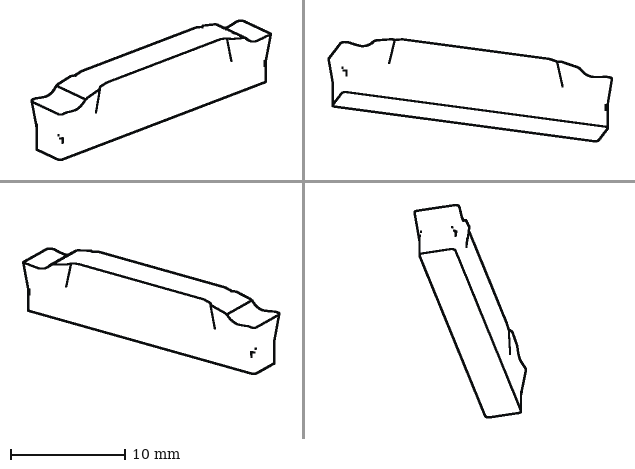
import cadquery as cq

length = 24.9
height = 5.8
head_width = 4.0
body_width = 3.24
corner_radius = 0.32

edge_height = 4.58
land_depth = 0.47
land_height = 4.63
land_back_depth = 0.7
ramp_depth = 0.97
ramp_height = 4.58
groove_start = 1.3
groove_start_height = 4.53
groove_height = 4.48
groove_arc_start = 1.8
groove_arc_middle = (2.35, 4.6)
groove_arc_end = (2.85, 4.95)
groove_lip = (3.01, 5.13)
slope_start = (3.24, 5.23)
slope_end_depth = 5.7

end_setback = 0.25
flank_foot_height = 2.55
side_slope = 0.115
side_relief = 0.057
shoulder_depth = 4.5
shoulder_height = 3.35
shoulder_lean = 0.22
shoulder_run = 1.3
shoulder_radius = 0.12
corner_foot_height = 2.07

half_length = length / 2
sharp_half_width = head_width / 2 + side_relief * corner_radius
half_body = body_width / 2
body_length = length - 2 * end_setback
loft_bottom = 1.0
loft_top = height + 0.25


def end_points():
    """Corners of the top outline from the cutting edge to the groove arc, as (depth, z)."""
    return [
        (0, edge_height),
        (land_depth, land_height),
        (land_back_depth, land_height),
        (ramp_depth, ramp_height),
        (groove_start, groove_start_height),
        (groove_arc_start, groove_height),
    ]


def make_profile():
    """Side outline of the whole insert, extruded across the head width."""
    def left(point):
        return (point[0] - half_length, point[1])

    def right(point):
        return (half_length - point[0], point[1])

    outline = cq.Workplane("YZ").moveTo(-half_length, 0)
    for point in end_points():
        outline = outline.lineTo(*left(point))
    outline = outline.threePointArc(left(groove_arc_middle), left(groove_arc_end))
    for point in (groove_lip, slope_start, (slope_end_depth, height)):
        outline = outline.lineTo(*left(point))
    for point in ((slope_end_depth, height), slope_start, groove_lip, groove_arc_end):
        outline = outline.lineTo(*right(point))
    outline = outline.threePointArc(right(groove_arc_middle), right((groove_arc_start, groove_height)))
    for point in reversed(end_points()[:-1]):
        outline = outline.lineTo(*right(point))
    return outline.lineTo(half_length, 0).close().extrude(head_width, both=True)


def head_section(z):
    """Plan section of the -Y head at height z, running back into the body."""
    front = (edge_height - z) * end_setback / (edge_height - flank_foot_height)
    width_at_edge = sharp_half_width + side_slope * (z - edge_height)
    front_half = width_at_edge - side_relief * front
    shoulder_foot = shoulder_depth + shoulder_lean * (z - shoulder_height)
    corner = (shoulder_foot - shoulder_run * (width_at_edge - half_body)) / (1 - shoulder_run * side_relief)
    corner_half = width_at_edge - side_relief * corner
    inner_half = half_body / 2
    inner = corner + shoulder_run * (corner_half - inner_half)
    side = [(front_half, front), (corner_half, corner), (inner_half, inner)]
    points = side + [(-x, depth) for x, depth in reversed(side)]
    return [cq.Vector(x, depth - half_length, z) for x, depth in points]


def make_head():
    """Tapered head at the -Y end with rounded corners beside its cutting edge."""
    sections = [cq.Wire.makePolygon(head_section(z), close=True) for z in (loft_bottom, loft_top)]
    head = cq.Workplane(cq.Solid.makeLoft(sections, True))
    head = head.faces("<Y").edges("<X or >X").fillet(corner_radius)
    head = head.faces("<X or >X").edges(">Y").fillet(shoulder_radius)
    corner_relief = cq.Workplane("XY").box(
        2 * head_width, end_setback + corner_radius, corner_foot_height, centered=(True, False, False)
    )
    return head.cut(corner_relief.translate((0, -half_length, 0)))


body = (
    cq.Workplane("XY")
    .box(body_width, body_length, height, centered=(True, True, False))
    .edges("|Z")
    .fillet(corner_radius)
)
head = make_head()
blank = body.union(head).union(head.mirror("XZ"))
result = blank.intersect(make_profile())